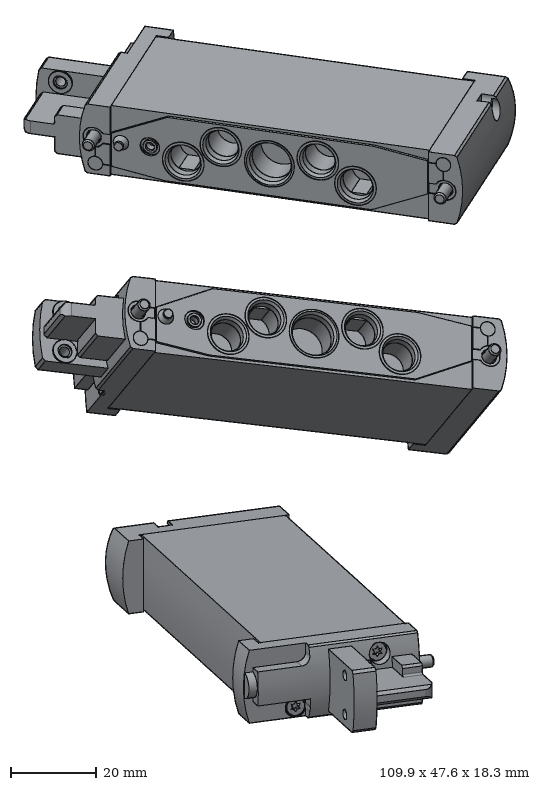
import cadquery as cq
import math


THICKNESS = 18.3
HALF_THICKNESS = THICKNESS / 2
HOUSING_HALF_LENGTH = 39.1
HOUSING_FRONT_Y = 0.9
HOUSING_BACK_Y = 37.8
HOUSING_BACK_BULGE = 0.5

CAP_BACK_Y = 43.1
CAP_BACK_BULGE = 1.5
CAP_LIP_END_X = 36.1
CAP_CORNER_BEVEL_X = 0.6
CAP_CORNER_BEVEL_Z = 0.4
LEFT_CAP_TIP_X = 46.65
RIGHT_CAP_TIP_X = 47.5
CAP_END_BULGE = 1.4

PIN_DIAMETER = 3.0
PIN_LENGTH = 4.5
PIN_TIP_CHAMFER = 0.4
PIN_X = 43.2
PIN_Z = 0.5
PIN_CLEARANCE_DIAMETER = 3.6
PIN_CLEARANCE_DEPTH = 1.5
PIN_COUNTERBORE_DIAMETER = 5.2
PIN_COUNTERBORE_DEPTH = 0.4
KEY_SLOT_WIDTH = 2.7

MARK_DIAMETER = 3.6
MARK_X = 42.75
MARK_Z = -6.3
MARK_DEPTH = 0.1
GROOVE_WIDTH = 0.15

GASKET_FRONT_Y = 0.2
GASKET_HALF_LENGTH = 38.8
GASKET_HALF_HEIGHT = 8.45
GASKET_SHORT_SLOPE_X = 25.6
GASKET_LONG_SLOPE_X = 25.1
GASKET_END_TOP_Z = 2.2
GASKET_END_BOTTOM_Z = 6.6

SIDE_PORT_DIAMETER = 7.8
SIDE_PORT_RIM_DIAMETER = 10.2
CENTRE_PORT_DIAMETER = 10.1
CENTRE_PORT_RIM_DIAMETER = 12.2
PORT_CONE_FLARE = 1.0
PORT_MOUTH_CLEARANCE = 0.1
PORT_MOUTH_DEPTH = 3.0
PORT_DEPTH = 10.0
PORT_FLAT_OFFSET = 3.4
INNER_PORT_X = 11.9
OUTER_PORT_X = 21.15
SIDE_PORT_Z = 2.65

STUD_X = -36.5
STUD_BASE_DIAMETER = 3.8
STUD_TIP_DIAMETER = 2.2
STUD_CONE_END_Y = -1.2
STUD_TIP_Y = -1.9
PILOT_X = -29.4
PILOT_OUTER_DIAMETER = 4.75
PILOT_INNER_DIAMETER = 3.4
PILOT_BORE_DIAMETER = 2.2
PILOT_BORE_DEPTH = 3.0
PILOT_GROOVE_DEPTH = 0.6

STEP_FLOOR_X = -43.1
STEP_START_Y = 27.4
STEP_CORNER_RADIUS = 2.2
TONGUE_TOP_Z = 4.7
TONGUE_BOTTOM_Z = -3.8
TONGUE_END_Y = 40.7
KNOB_DIAMETER = 6.4
KNOB_END_Y = 42.8
KNOB_X = -42.8

SCREW_RECESS_DIAMETER = 5.2
SCREW_HEAD_DIAMETER = 4.5
SCREW_SOCKET_DIAMETER = 2.6
SCREW_HEAD_HEIGHT = 0.6
SCREW_SOCKET_DEPTH = 1.2
UPPER_SCREW = (-44.0, 9.9, 5.2)
LOWER_SCREW = (-42.5, 29.9, -6.5)

SCREW_HOLE_START_X = 45.0
NOTCH_DIAMETER = 3.8
NOTCH_Z = 8.5
NOTCH_START_X = 42.6

CONNECTOR_ROOT_X = -44.0
FLANGE_TIP_X = -62.4
FLANGE_HALF_HEIGHT = 7.8
FLANGE_FRONT_Y = 16.8
FLANGE_BACK_Y = 22.6
FLANGE_BULGE = 0.7
FLANGE_CORNER_BEVEL = 0.7
FLANGE_HOLE_X = -56.3
FLANGE_HOLE_Z = 4.9
FLANGE_HOLE_DIAMETER = 2.46
FLANGE_BUSH_BORE = 3.4
FLANGE_BUSH_DIAMETER = 5.8
FLANGE_BUSH_HEIGHT = 0.5
BLADE_TIP_X = -61.4
BLADE_FRONT_Y = 1.9
BLADE_TOP_Z = 1.5
BLADE_BOTTOM_Z = -1.9
BLADE_CORNER_RADIUS = 2.2
BLADE_TIP_BEVEL = 0.8
BLOCK_END_X = -53.3
BLOCK_EDGE_BEVEL = 0.6
BLOCK_ROOT_RADIUS = 0.5
BLOCK_TOP_Z = 4.1
BLOCK_BOTTOM_Z = -6.2
BLOCK_TOP_BACK_Y = 6.9
BLOCK_BOTTOM_BACK_Y = 16.1


def box(x0, x1, y0, y1, z0, z1):
    """Box between two X, two Y and two Z positions."""
    return cq.Workplane("XY").box(x1 - x0, y1 - y0, z1 - z0, centered=False).translate((x0, y0, z0))


def rod_y(diameter, x, z, y0, y1):
    """Cylinder along Y."""
    start = cq.Vector(x, y0, z)
    return cq.Workplane(cq.Solid.makeCylinder(diameter / 2, y1 - y0, start, cq.Vector(0, 1, 0)))


def cone_y(start_diameter, end_diameter, x, z, y0, y1):
    """Cone along Y with the start diameter at y0."""
    start = cq.Vector(x, y0, z)
    cone = cq.Solid.makeCone(start_diameter / 2, end_diameter / 2, y1 - y0, start, cq.Vector(0, 1, 0))
    return cq.Workplane(cone)


def rod_x(diameter, y, z, x0, x1):
    """Cylinder along X."""
    start = cq.Vector(x0, y, z)
    return cq.Workplane(cq.Solid.makeCylinder(diameter / 2, x1 - x0, start, cq.Vector(1, 0, 0)))


def half_turn(body):
    """Turn a body half a turn about the Y axis."""
    return body.rotate((0, 0, 0), (0, 1, 0), 180)


SIDE_PORTS = [
    (-OUTER_PORT_X, -SIDE_PORT_Z),
    (-INNER_PORT_X, SIDE_PORT_Z),
    (INNER_PORT_X, SIDE_PORT_Z),
    (OUTER_PORT_X, -SIDE_PORT_Z),
]


def side_port_bore(x, z):
    """Round mouth followed by a bore with a flat on the side away from the middle of the valve."""
    mouth = rod_y(SIDE_PORT_DIAMETER + PORT_MOUTH_CLEARANCE, x, z, 0, PORT_MOUTH_DEPTH)
    bore = rod_y(SIDE_PORT_DIAMETER, x, z, 0, PORT_DEPTH)
    outward = math.copysign(1, z)
    radius = SIDE_PORT_DIAMETER / 2
    bottom_z, top_z = sorted((z - outward * radius, z + outward * PORT_FLAT_OFFSET))
    kept = box(x - radius, x + radius, 0, PORT_DEPTH, bottom_z, top_z)
    return mouth.union(bore.intersect(kept))


def centre_port_bore():
    mouth = rod_y(CENTRE_PORT_DIAMETER + PORT_MOUTH_CLEARANCE, 0, 0, 0, PORT_MOUTH_DEPTH)
    return mouth.union(rod_y(CENTRE_PORT_DIAMETER, 0, 0, 0, PORT_DEPTH))


def pilot_bore():
    return rod_y(PILOT_BORE_DIAMETER, PILOT_X, 0, GASKET_FRONT_Y, PILOT_BORE_DEPTH)


def make_housing():
    """Block with a slightly bulging back and the port bores in its front."""
    back_edge_y = HOUSING_BACK_Y - HOUSING_BACK_BULGE
    block = (
        cq.Workplane("YZ")
        .moveTo(HOUSING_FRONT_Y, -HALF_THICKNESS)
        .lineTo(back_edge_y, -HALF_THICKNESS)
        .threePointArc((HOUSING_BACK_Y, 0), (back_edge_y, HALF_THICKNESS))
        .lineTo(HOUSING_FRONT_Y, HALF_THICKNESS)
        .close()
        .extrude(HOUSING_HALF_LENGTH, both=True)
    )
    for x, z in SIDE_PORTS:
        block = block.cut(side_port_bore(x, z))
    return block.cut(centre_port_bore()).cut(pilot_bore())


def make_gasket():
    """Plate with sloping corners, raised port rims and a locating stud; half-turn symmetric outline."""
    half_outline = [
        (-GASKET_HALF_LENGTH, -GASKET_END_BOTTOM_Z),
        (-GASKET_HALF_LENGTH, GASKET_END_TOP_Z),
        (-GASKET_LONG_SLOPE_X, GASKET_HALF_HEIGHT),
        (GASKET_SHORT_SLOPE_X, GASKET_HALF_HEIGHT),
    ]
    outline = half_outline + [(-x, -z) for x, z in half_outline]
    plate = cq.Workplane("XZ").polyline(outline).close().extrude(GASKET_FRONT_Y - HOUSING_FRONT_Y)
    plate = plate.translate((0, GASKET_FRONT_Y, 0))
    ports = [(x, z, SIDE_PORT_DIAMETER, SIDE_PORT_RIM_DIAMETER) for x, z in SIDE_PORTS]
    ports.append((0, 0, CENTRE_PORT_DIAMETER, CENTRE_PORT_RIM_DIAMETER))
    for x, z, bore, rim in ports:
        hole = bore + PORT_MOUTH_CLEARANCE
        plate = plate.union(rod_y(rim, x, z, 0, GASKET_FRONT_Y))
        plate = plate.cut(cone_y(hole + PORT_CONE_FLARE, hole, x, z, 0, HOUSING_FRONT_Y))
    groove_floor_y = GASKET_FRONT_Y + PILOT_GROOVE_DEPTH
    groove = rod_y(PILOT_OUTER_DIAMETER, PILOT_X, 0, GASKET_FRONT_Y, groove_floor_y)
    groove = groove.cut(rod_y(PILOT_INNER_DIAMETER, PILOT_X, 0, GASKET_FRONT_Y, groove_floor_y))
    plate = plate.cut(groove).cut(pilot_bore())
    cone = cone_y(STUD_TIP_DIAMETER, STUD_BASE_DIAMETER, STUD_X, 0, STUD_CONE_END_Y, GASKET_FRONT_Y)
    tip = rod_y(STUD_TIP_DIAMETER, STUD_X, 0, STUD_TIP_Y, STUD_CONE_END_Y)
    return plate.union(cone).union(tip)


def cap_blank(tip_x):
    """Left-hand end cap with a bulging end, a bulging back and a lip behind the housing."""
    flank_x = tip_x - CAP_END_BULGE
    bevel_z = HALF_THICKNESS - CAP_CORNER_BEVEL_Z
    end_profile = (
        cq.Workplane("XZ")
        .moveTo(-CAP_LIP_END_X, -HALF_THICKNESS)
        .lineTo(CAP_CORNER_BEVEL_X - flank_x, -HALF_THICKNESS)
        .lineTo(-flank_x, -bevel_z)
        .threePointArc((-tip_x, 0), (-flank_x, bevel_z))
        .lineTo(CAP_CORNER_BEVEL_X - flank_x, HALF_THICKNESS)
        .lineTo(-CAP_LIP_END_X, HALF_THICKNESS)
        .close()
        .extrude(-CAP_BACK_Y)
    )
    back_edge_y = CAP_BACK_Y - CAP_BACK_BULGE
    back_profile = (
        cq.Workplane("YZ")
        .moveTo(0, -HALF_THICKNESS)
        .lineTo(back_edge_y, -HALF_THICKNESS)
        .threePointArc((CAP_BACK_Y, 0), (back_edge_y, HALF_THICKNESS))
        .lineTo(0, HALF_THICKNESS)
        .close()
        .extrude(-tip_x)
    )
    housing_room = box(
        -HOUSING_HALF_LENGTH, HOUSING_HALF_LENGTH, 0, HOUSING_BACK_Y, -HALF_THICKNESS, HALF_THICKNESS
    )
    return end_profile.intersect(back_profile).cut(housing_room)


def add_pin(cap):
    """Mounting pin in its keyhole recess, and the round mark next to it, on the left-hand cap."""
    recess = rod_y(PIN_COUNTERBORE_DIAMETER, -PIN_X, PIN_Z, 0, PIN_COUNTERBORE_DEPTH)
    half_slot = KEY_SLOT_WIDTH / 2
    slot = box(
        -PIN_X, -HOUSING_HALF_LENGTH, 0, PIN_COUNTERBORE_DEPTH, PIN_Z - half_slot, PIN_Z + half_slot
    )
    clearance = rod_y(PIN_CLEARANCE_DIAMETER, -PIN_X, PIN_Z, 0, PIN_CLEARANCE_DEPTH)
    half_groove = GROOVE_WIDTH / 2
    mark = rod_y(MARK_DIAMETER, -MARK_X, MARK_Z, 0, MARK_DEPTH)
    side_groove = box(
        -MARK_X, -HOUSING_HALF_LENGTH, 0, HOUSING_FRONT_Y, MARK_Z - half_groove, MARK_Z + half_groove
    )
    side_groove = side_groove.cut(rod_y(MARK_DIAMETER, -MARK_X, MARK_Z, 0, HOUSING_FRONT_Y))
    link_groove = box(-MARK_X - half_groove, -MARK_X + half_groove, 0, MARK_DEPTH, MARK_Z, PIN_Z)
    for cut in (recess, slot, clearance, mark, side_groove, link_groove):
        cap = cap.cut(cut)
    pin = rod_y(PIN_DIAMETER, -PIN_X, PIN_Z, -PIN_LENGTH, PIN_CLEARANCE_DEPTH)
    return cap.union(pin.faces("<Y").chamfer(PIN_TIP_CHAMFER))


def step_back_end(cap):
    """Cut the end back above and below a middle tongue, and put the knob behind the tongue."""
    outside_x = -LEFT_CAP_TIP_X
    upper = box(outside_x, STEP_FLOOR_X, STEP_START_Y, CAP_BACK_Y, TONGUE_TOP_Z, HALF_THICKNESS)
    upper = upper.edges("|X and <Y and <Z").fillet(STEP_CORNER_RADIUS)
    lower = box(outside_x, STEP_FLOOR_X, STEP_START_Y, CAP_BACK_Y, -HALF_THICKNESS, TONGUE_BOTTOM_Z)
    behind = box(outside_x, STEP_FLOOR_X, TONGUE_END_Y, CAP_BACK_Y, -HALF_THICKNESS, HALF_THICKNESS)
    knob_z = (TONGUE_TOP_Z + TONGUE_BOTTOM_Z) / 2
    knob = rod_y(KNOB_DIAMETER, KNOB_X, knob_z, TONGUE_END_Y, KNOB_END_Y)
    return cap.cut(upper).cut(lower).cut(behind).union(knob)


def add_screw_head(cap, floor_x, y, z):
    """Screw head with a six-pointed socket, sunk in a round recess that faces -X."""
    recess = rod_x(SCREW_RECESS_DIAMETER, y, z, -LEFT_CAP_TIP_X, floor_x)
    head_x = floor_x - SCREW_HEAD_HEIGHT
    head = rod_x(SCREW_HEAD_DIAMETER, y, z, head_x, floor_x)
    cap = cap.cut(recess).union(head)
    triangle = cq.Workplane("YZ").polygon(3, SCREW_SOCKET_DIAMETER).extrude(SCREW_SOCKET_DEPTH)
    for angle in (30, 90):
        cap = cap.cut(triangle.rotate((0, 0, 0), (1, 0, 0), angle).translate((head_x, y, z)))
    return cap


def make_flange():
    """Upright plate with a bulging end and two bushed holes."""
    flank_x = FLANGE_TIP_X + FLANGE_BULGE
    bevel_z = FLANGE_HALF_HEIGHT - FLANGE_CORNER_BEVEL
    flange = (
        cq.Workplane("XZ", origin=(0, FLANGE_FRONT_Y, 0))
        .moveTo(CONNECTOR_ROOT_X, -FLANGE_HALF_HEIGHT)
        .lineTo(flank_x + FLANGE_CORNER_BEVEL, -FLANGE_HALF_HEIGHT)
        .lineTo(flank_x, -bevel_z)
        .threePointArc((FLANGE_TIP_X, 0), (flank_x, bevel_z))
        .lineTo(flank_x + FLANGE_CORNER_BEVEL, FLANGE_HALF_HEIGHT)
        .lineTo(CONNECTOR_ROOT_X, FLANGE_HALF_HEIGHT)
        .close()
        .extrude(FLANGE_FRONT_Y - FLANGE_BACK_Y)
    )
    bush_y = FLANGE_FRONT_Y - FLANGE_BUSH_HEIGHT
    for z in (-FLANGE_HOLE_Z, FLANGE_HOLE_Z):
        flange = flange.union(rod_y(FLANGE_BUSH_DIAMETER, FLANGE_HOLE_X, z, bush_y, FLANGE_FRONT_Y))
    return flange


def cut_flange_holes(connector):
    bush_y = FLANGE_FRONT_Y - FLANGE_BUSH_HEIGHT
    for z in (-FLANGE_HOLE_Z, FLANGE_HOLE_Z):
        connector = connector.cut(rod_y(FLANGE_BUSH_BORE, FLANGE_HOLE_X, z, bush_y, FLANGE_FRONT_Y))
        connector = connector.cut(rod_y(FLANGE_HOLE_DIAMETER, FLANGE_HOLE_X, z, bush_y, FLANGE_BACK_Y))
    return connector


def make_connector():
    """Flange, the flat blade in front of it and the block at the root of the blade."""
    blade = box(BLADE_TIP_X, CONNECTOR_ROOT_X, BLADE_FRONT_Y, FLANGE_FRONT_Y, BLADE_BOTTOM_Z, BLADE_TOP_Z)
    rounded_blade = blade.edges("|Z and <X and <Y").fillet(BLADE_CORNER_RADIUS)
    blade = blade.edges("|Y and <X").chamfer(BLADE_TIP_BEVEL).intersect(rounded_blade)
    upper_block = box(
        BLOCK_END_X, CONNECTOR_ROOT_X, BLADE_FRONT_Y, BLOCK_TOP_BACK_Y, BLADE_BOTTOM_Z, BLOCK_TOP_Z
    )
    upper_block = upper_block.edges("|Y and <X and >Z").chamfer(BLOCK_EDGE_BEVEL)
    lower_block = box(
        BLOCK_END_X, CONNECTOR_ROOT_X, BLADE_FRONT_Y, BLOCK_BOTTOM_BACK_Y, BLOCK_BOTTOM_Z, BLADE_TOP_Z
    )
    lower_block = lower_block.edges("|Y and <X and <Z").chamfer(BLOCK_EDGE_BEVEL)
    root_fillet = (
        cq.Workplane("XZ", origin=(0, BLADE_FRONT_Y, 0))
        .moveTo(BLOCK_END_X, BLADE_TOP_Z)
        .lineTo(BLOCK_END_X - BLOCK_ROOT_RADIUS, BLADE_TOP_Z)
        .radiusArc((BLOCK_END_X, BLADE_TOP_Z + BLOCK_ROOT_RADIUS), -BLOCK_ROOT_RADIUS)
        .close()
        .extrude(BLADE_FRONT_Y - BLOCK_TOP_BACK_Y)
    )
    upper_block = upper_block.union(root_fillet)
    return cut_flange_holes(make_flange().union(blade).union(upper_block).union(lower_block))


def make_left_cap():
    cap = step_back_end(add_pin(cap_blank(LEFT_CAP_TIP_X)))
    for screw in (UPPER_SCREW, LOWER_SCREW):
        cap = add_screw_head(cap, *screw)
    return cap.union(make_connector())


def make_right_cap():
    cap = half_turn(add_pin(cap_blank(RIGHT_CAP_TIP_X)))
    _, screw_y, left_screw_z = LOWER_SCREW
    notch = rod_x(NOTCH_DIAMETER, screw_y, NOTCH_Z, NOTCH_START_X, RIGHT_CAP_TIP_X)
    hole = rod_x(SCREW_RECESS_DIAMETER, screw_y, -left_screw_z, SCREW_HOLE_START_X, RIGHT_CAP_TIP_X)
    return cap.cut(notch).cut(hole)


housing = make_housing()
gasket = make_gasket()
left_cap = make_left_cap()
right_cap = make_right_cap()

result = cq.Compound.makeCompound([housing.val(), gasket.val(), left_cap.val(), right_cap.val()])